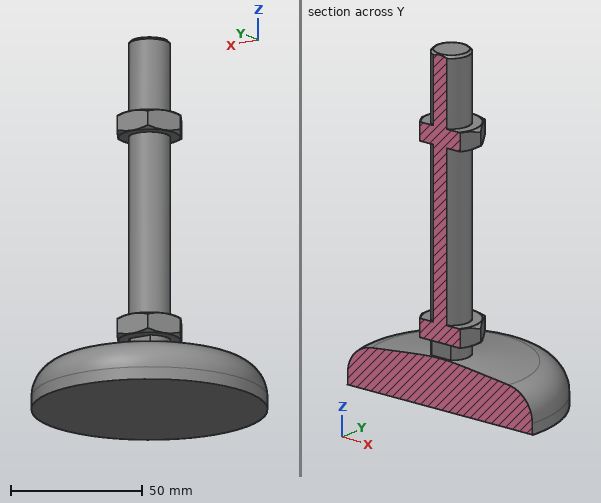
import cadquery as cq
import math

total_height = 145.0
foot_radius = 90.0 / 2
foot_rim_height = 5.0
foot_edge_radius = 13.0
foot_slope_angle = math.radians(7.0)

spindle_diameter = 16.0
spindle_radius = spindle_diameter / 2
spindle_chamfer = 1.0
wrench_flat_width = 13.0

nut_width = 24.0
nut_thickness = 8.0
nut_face_diameter = 23.6
nut_chamfer_angle = math.radians(30.0)
lower_nut_base = 27.3
nut_pitch = 80.0

edge_center_x = foot_radius - foot_edge_radius


def foot_edge_point(angle):
    """Point on the rounded foot edge, with the angle measured from vertical."""
    x = edge_center_x + foot_edge_radius * math.sin(angle)
    z = foot_rim_height + foot_edge_radius * math.cos(angle)
    return x, z


slope_start = foot_edge_point(foot_slope_angle)
edge_middle = foot_edge_point((foot_slope_angle + math.pi / 2) / 2)
slope_rise = (slope_start[0] - spindle_radius) * math.tan(foot_slope_angle)
foot_height = slope_start[1] + slope_rise


def make_foot():
    """Round foot with a conical top ending in a flat under the spindle."""
    return (
        cq.Workplane("XZ")
        .lineTo(foot_radius, 0)
        .lineTo(foot_radius, foot_rim_height)
        .threePointArc(edge_middle, slope_start)
        .lineTo(spindle_radius, foot_height)
        .lineTo(0, foot_height)
        .close()
        .revolve(360, (0, 0), (0, 1))
    )


def make_spindle():
    """Round rod with a chamfered tip and two wrench flats below the lower nut."""
    rod = (
        cq.Workplane("XY", origin=(0, 0, foot_height))
        .circle(spindle_radius)
        .extrude(total_height - foot_height)
        .faces(">Z")
        .chamfer(spindle_chamfer)
    )
    flats_height = lower_nut_base - foot_height
    flats_section = cq.Workplane("XY", origin=(0, 0, foot_height))
    flats_ring = flats_section.circle(spindle_diameter).extrude(flats_height)
    flats_core = flats_section.rect(2 * spindle_diameter, wrench_flat_width).extrude(flats_height)
    return rod.cut(flats_ring.cut(flats_core))


def make_nut(base_height):
    """Hexagon nut with corners along X and conical chamfers on both faces."""
    corner_radius = nut_width / 2 / math.cos(math.pi / 6)
    face_radius = nut_face_diameter / 2
    chamfer_height = (corner_radius - face_radius) * math.tan(nut_chamfer_angle)
    hexagon = cq.Workplane("XY").polygon(6, 2 * corner_radius).extrude(nut_thickness)
    chamfer_envelope = (
        cq.Workplane("XZ")
        .lineTo(face_radius, 0)
        .lineTo(corner_radius, chamfer_height)
        .lineTo(corner_radius, nut_thickness - chamfer_height)
        .lineTo(face_radius, nut_thickness)
        .lineTo(0, nut_thickness)
        .close()
        .revolve(360, (0, 0), (0, 1))
    )
    return hexagon.intersect(chamfer_envelope).translate((0, 0, base_height))


result = make_foot().union(make_spindle())
for nut_base in (lower_nut_base, lower_nut_base + nut_pitch):
    result = result.union(make_nut(nut_base))